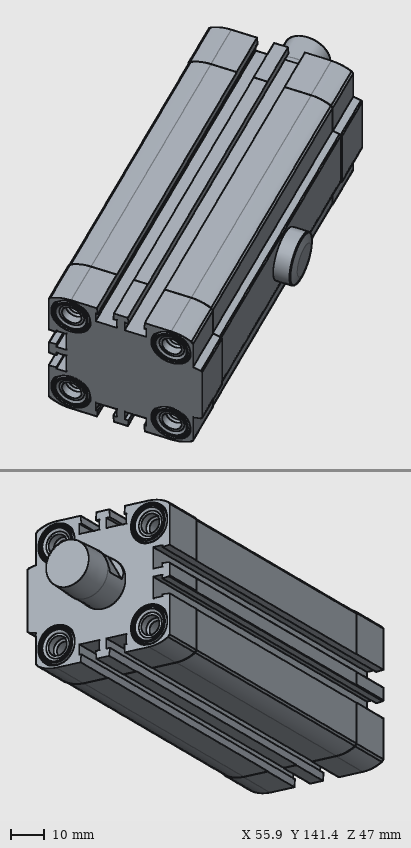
import cadquery as cq
import math

total_length = 141.4
housing_size = 47.0
housing_length = 121.3
rear_cap_length = 15.1
rod_cap_length = 15.4
tube_inset = 0.1
tube_rib_inset = 0.4
half_size = housing_size / 2
tube_length = housing_length - rear_cap_length - rod_cap_length

corner_start = 16.3
corner_end_height = 21.6
bevel_width = 0.5
bevel_height = 0.7

rib_reach = 26.5
rib_root_half_height = 10.9
rib_tip_half_height = 10.3
rib_tip_bevel = 0.4

slot_depth = 5.8
lip_depth = 2.5
slot_outer_wall = 8.2
slot_inner_wall = 1.3
mouth_outer_wall = 7.8
mouth_inner_wall = 2.3
mouth_draft = 0.21
side_post_bevel = 0.3

seat_spacing = 32.5
seat_diameter = 12.9
seat_depth = 0.7
collar_base_diameter = 11.9
collar_crest_diameter = 11.0
collar_crest_depth = 0.1
socket_mouth_diameter = 10.0
socket_diameter = 8.0
socket_depth = 0.7
bore_diameter = 6.4
bore_depth = 3.5
screw_hole_diameter = 5.0

rod_diameter = 16.0
rod_tip_diameter = 15.0
rod_cylinder_length = 10.2
flat_distance = 6.5
flat_angle = 150.0
flat_start = 2.1
flat_length = 6.5

plug_diameter = 17.0
plug_position = 63.2
plug_end = 32.4
plug_shoulder = 31.2
plug_rim_diameter = 16.4
plug_rim_position = 31.5
plug_face_diameter = 10.6


def profile_section(inset, rib_inset, start, length):
    """Outer section without slots; the inset pulls in every face but the rib, which has its own."""
    top = half_size - inset
    right = half_size - inset
    rib = rib_reach - rib_inset
    arc_height = corner_end_height - inset
    left = -half_size + inset
    left_arc_end = left + bevel_width
    right_arc_end = right - bevel_width
    face_height = arc_height - bevel_height
    run = -corner_start - left_arc_end
    drop = top - arc_height
    radius = (run**2 + drop**2) / (2 * drop)
    sweep = math.asin(run / radius) / 2
    mid_run = radius * math.sin(sweep)
    mid_height = top - radius * (1 - math.cos(sweep))
    outline = (
        cq.Workplane("XZ", origin=(0, start, 0))
        .moveTo(left, -face_height)
        .lineTo(left, face_height)
        .lineTo(left_arc_end, arc_height)
        .threePointArc((-corner_start - mid_run, mid_height), (-corner_start, top))
        .lineTo(corner_start, top)
        .threePointArc((corner_start + mid_run, mid_height), (right_arc_end, arc_height))
        .lineTo(right, face_height)
        .lineTo(right, rib_root_half_height)
        .lineTo(rib - rib_tip_bevel, rib_tip_half_height)
        .lineTo(rib, rib_tip_half_height - rib_tip_bevel)
        .lineTo(rib, -(rib_tip_half_height - rib_tip_bevel))
        .lineTo(rib - rib_tip_bevel, -rib_tip_half_height)
        .lineTo(right, -rib_root_half_height)
        .lineTo(right, -face_height)
        .lineTo(right_arc_end, -arc_height)
        .threePointArc((corner_start + mid_run, -mid_height), (corner_start, -top))
        .lineTo(-corner_start, -top)
        .threePointArc((-corner_start - mid_run, -mid_height), (left_arc_end, -arc_height))
        .close()
    )
    return outline.extrude(-length)


def slot_pair(post_bevel):
    """Cutter for the two T-slots of the top face."""
    floor = half_size - slot_depth
    lip = half_size - lip_depth
    points = [
        (slot_outer_wall, floor),
        (slot_outer_wall, lip),
        (mouth_outer_wall - mouth_draft, lip),
        (mouth_outer_wall, half_size),
        (mouth_inner_wall - post_bevel, half_size),
        (mouth_inner_wall + mouth_draft, lip),
        (slot_inner_wall, lip),
        (slot_inner_wall, floor),
    ]
    if post_bevel:
        points.insert(5, (mouth_inner_wall, half_size - post_bevel))
    slot = cq.Workplane("XZ").polyline(points).close().extrude(-housing_length)
    return slot.union(slot.mirror("YZ"))


def screw_seat():
    """Cutter for one corner hole: a through hole with a collared socket at each end."""
    sink_depth = bore_depth + (bore_diameter - screw_hole_diameter) / 2
    end_profile = [
        (seat_diameter / 2, 0),
        (seat_diameter / 2, seat_depth),
        (collar_base_diameter / 2, seat_depth),
        (collar_crest_diameter / 2, collar_crest_depth),
        (socket_mouth_diameter / 2, collar_crest_depth),
        (socket_diameter / 2, socket_depth),
        (bore_diameter / 2, socket_depth),
        (bore_diameter / 2, bore_depth),
        (screw_hole_diameter / 2, sink_depth),
    ]
    far_profile = [(radius, housing_length - depth) for radius, depth in reversed(end_profile)]
    points = [(0, 0)] + end_profile + far_profile + [(0, housing_length)]
    return cq.Workplane("XY").polyline(points).close().revolve(360, (0, 0, 0), (0, 1, 0))


def make_housing():
    body = profile_section(0, 0, 0, rear_cap_length)
    body = body.union(profile_section(tube_inset, tube_rib_inset, rear_cap_length, tube_length))
    body = body.union(profile_section(0, 0, rear_cap_length + tube_length, rod_cap_length))
    for angle, bevel in ((0, 0), (180, 0), (-90, side_post_bevel)):
        body = body.cut(slot_pair(bevel).rotate((0, 0, 0), (0, 1, 0), angle))
    seat = screw_seat()
    offset = seat_spacing / 2
    for x in (-offset, offset):
        for z in (-offset, offset):
            body = body.cut(seat.translate((x, 0, z)))
    return body


def make_rod():
    rod = cq.Workplane("XY").polyline([
        (0, housing_length),
        (rod_diameter / 2, housing_length),
        (rod_diameter / 2, housing_length + rod_cylinder_length),
        (rod_tip_diameter / 2, total_length),
        (0, total_length),
    ]).close().revolve(360, (0, 0, 0), (0, 1, 0))
    flat_depth = rod_diameter / 2 - flat_distance
    base = housing_length + flat_start
    cutter = cq.Workplane("XY").polyline([
        (flat_distance, base),
        (flat_distance, base + flat_length),
        (flat_distance + flat_depth, base + flat_length + flat_depth),
        (flat_distance + flat_depth, base - flat_depth),
    ]).close().extrude(rod_diameter / 2, both=True)
    for angle in (flat_angle, flat_angle + 180):
        rod = rod.cut(cutter.rotate((0, 0, 0), (0, 1, 0), -angle))
    return rod


def make_plug():
    seat = rib_reach - tube_rib_inset
    return cq.Workplane("XY", origin=(0, plug_position, 0)).polyline([
        (seat, 0),
        (seat, plug_diameter / 2),
        (plug_shoulder, plug_diameter / 2),
        (plug_rim_position, plug_rim_diameter / 2),
        (plug_end, plug_face_diameter / 2),
        (plug_end, 0),
    ]).close().revolve(360, (0, 0, 0), (1, 0, 0))


housing = make_housing()
rod = make_rod()
plug = make_plug()

result = cq.Compound.makeCompound([housing.val(), rod.val(), plug.val()])